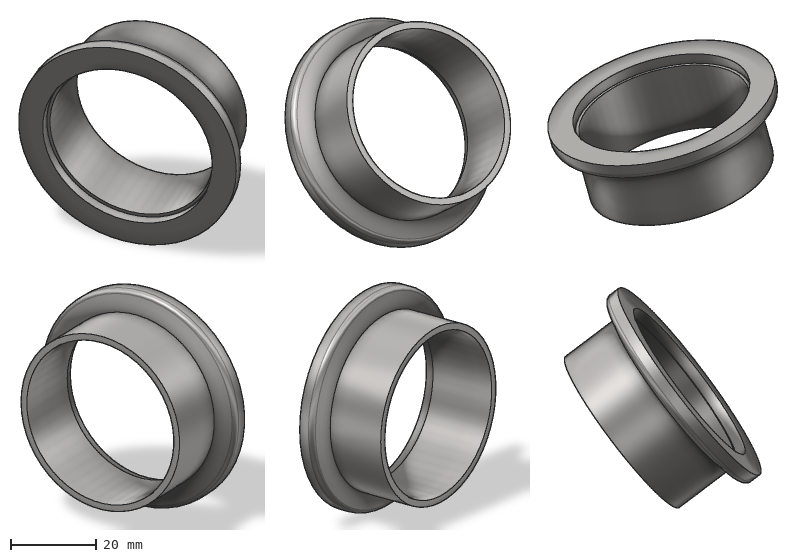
import cadquery as cq
import math

flange_diameter = 55.0
tube_outer_diameter = 44.5
bore_diameter = 41.2
recess_diameter = 42.8
overall_length = 20.0
hub_height = 5.05
recess_depth = 2.6
cone_angle = 15.0
rim_height = 2.6

flange_radius = flange_diameter / 2
tube_radius = tube_outer_diameter / 2
bore_radius = bore_diameter / 2
recess_radius = recess_diameter / 2

cone_drop = (flange_radius - tube_radius) * math.tan(math.radians(cone_angle))
corner_height = hub_height - cone_drop

turn_angle = math.radians(90 - cone_angle)
tangent_length = corner_height - rim_height
rounding_radius = tangent_length / math.tan(turn_angle / 2)
rounding_center_radius = flange_radius - rounding_radius


def rounding_point(angle):
    """Point (radius, height) on the rim rounding, angle measured from the radial direction."""
    return (
        rounding_center_radius + rounding_radius * math.cos(angle),
        rim_height + rounding_radius * math.sin(angle),
    )


profile = (
    cq.Workplane("XY")
    .moveTo(recess_radius, 0)
    .lineTo(flange_radius, 0)
    .lineTo(flange_radius, rim_height)
    .threePointArc(rounding_point(turn_angle / 2), rounding_point(turn_angle))
    .lineTo(tube_radius, hub_height)
    .lineTo(tube_radius, overall_length)
    .lineTo(bore_radius, overall_length)
    .lineTo(bore_radius, recess_depth)
    .lineTo(recess_radius, recess_depth)
    .close()
)

result = profile.revolve(360, (0, 0, 0), (0, 1, 0))